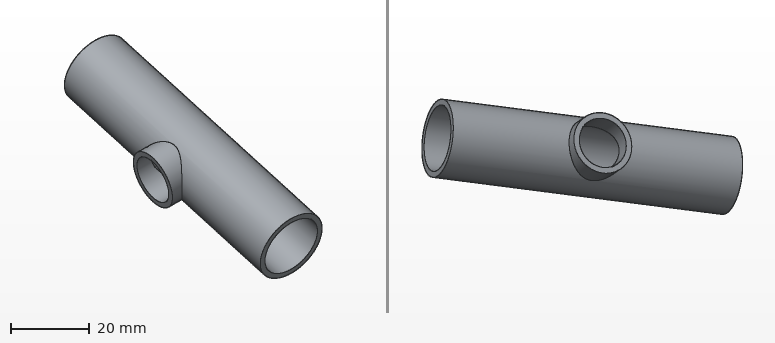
import cadquery as cq

tube_length = 80
tube_diameter = 20
wall = 1.5

branch_diameter = 16
overall_depth = 23.0
branch_reach = overall_depth - tube_diameter / 2


def main_cylinder(diameter):
    """Cylinder along X, centred on the origin."""
    return cq.Workplane("YZ").circle(diameter / 2).extrude(tube_length / 2, both=True)


def branch_cylinder(diameter):
    """Cylinder from the tube axis out to the branch mouth."""
    return cq.Workplane("XZ").circle(diameter / 2).extrude(branch_reach)


outer_body = main_cylinder(tube_diameter).union(branch_cylinder(branch_diameter))

main_bore = main_cylinder(tube_diameter - 2 * wall)
branch_bore = branch_cylinder(branch_diameter - 2 * wall)

result = outer_body.cut(main_bore).cut(branch_bore)